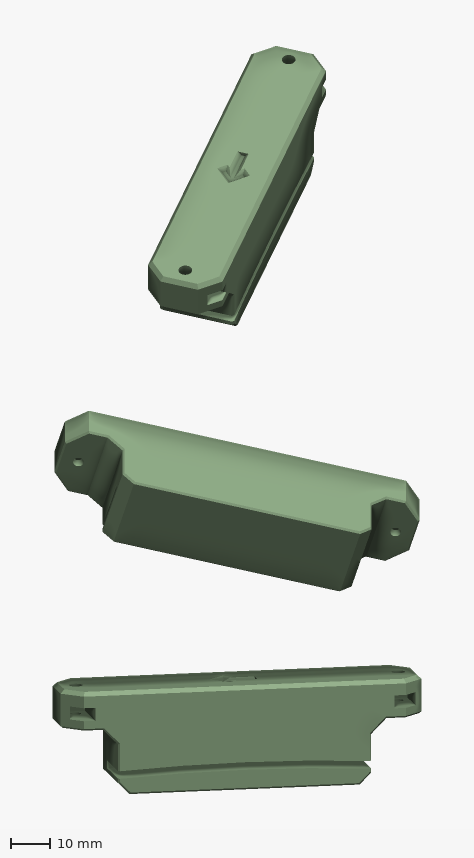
import cadquery as cq
import math

length = 94.0
width = 20.0
height = 27.0

cap_bottom = 17.0
corner_cut = 5.0
body_half_length = 33.0
shoulder_cut = 3.95
foot_cut = 3.0
top_bevel = 1.0
lower_bevel = 0.5

screw_inset = 5.0
clearance_diameter = 3.5
screw_diameter = 2.7
nut_pocket_width = 6.0
nut_pocket_bottom = 19.55
nut_pocket_height = 3.4

slot_back = 6.0
slot_bottom = 4.1
slot_height = 2.0
slot_rise = 1.0

arrow_stroke = 3.0
arrow_depth = 1.0
arrow_tail = 4.9
arrow_tip = -7.2
arrow_half_width = 4.4

half_length = length / 2
center_x = width / 2


def make_blank():
    """Cap and body outline run along X, with the vertical corners of the cap cut off."""
    shoulder = body_half_length + shoulder_cut
    right_half = [
        (body_half_length - foot_cut, 0),
        (body_half_length, foot_cut),
        (body_half_length, cap_bottom - shoulder_cut),
        (shoulder, cap_bottom),
        (half_length, cap_bottom),
        (half_length, height),
    ]
    left_half = [(-y, z) for y, z in reversed(right_half)]
    blank = cq.Workplane("YZ").polyline(right_half + left_half).close().extrude(width)
    blank = blank.edges("|Z").edges("<Y or >Y").chamfer(corner_cut)
    return blank


def bevel_edges(blank):
    """Bevel the cap's top rim, then the side outlines and cap ends at its underside and below."""
    below_cap = cq.selectors.BoxSelector(
        (-width, -length, -height),
        (2 * width, length, cap_bottom + lower_bevel),
    )
    blank = blank.faces(">Z").edges().chamfer(top_bevel)
    lower_edges = blank.edges(below_cap).edges("(not |X) or <Y or >Y")
    return lower_edges.chamfer(lower_bevel)


def make_screw_cuts(y_end):
    """Screw hole and nut pocket near the end of the cap on the side given by y_end."""
    y = y_end * (half_length - screw_inset)
    pocket_floor = cq.Workplane("XY", origin=(center_x, y, nut_pocket_bottom))
    screw_hole = cq.Workplane("XY", origin=(center_x, y, 0)).circle(screw_diameter / 2).extrude(height)
    clearance_hole = pocket_floor.circle(clearance_diameter / 2).extrude(height)
    nut_pocket = (
        pocket_floor.center(-nut_pocket_width / 2, 0)
        .rect(width, nut_pocket_width, centered=(False, True))
        .extrude(nut_pocket_height)
    )
    return screw_hole.union(clearance_hole).union(nut_pocket)


def make_slot():
    """Slot along the whole body, bowed upwards to mid-length."""
    roof_bottom = slot_bottom + slot_height
    return (
        cq.Workplane("YZ", origin=(slot_back, 0, 0))
        .moveTo(-body_half_length, slot_bottom)
        .threePointArc((0, slot_bottom + slot_rise), (body_half_length, slot_bottom))
        .lineTo(body_half_length, roof_bottom)
        .threePointArc((0, roof_bottom + slot_rise), (-body_half_length, roof_bottom))
        .close()
        .extrude(width)
    )


def make_arrow():
    """Shaft and the two strokes of the head, each groove narrowing with depth."""
    half_floor = arrow_stroke / 2 - arrow_depth
    shaft_end = arrow_tip + arrow_stroke / math.sqrt(2)
    shaft_profile = [
        (-arrow_stroke / 2, 0),
        (arrow_stroke / 2, 0),
        (half_floor, -arrow_depth),
        (-half_floor, -arrow_depth),
    ]
    arrow = (
        cq.Workplane("XZ", origin=(0, arrow_tail, 0))
        .polyline(shaft_profile)
        .close()
        .extrude(arrow_tail - shaft_end)
    )
    stroke_length = arrow_half_width * math.sqrt(2)
    for side in (-1, 1):
        stroke = (
            cq.Workplane("XY")
            .center(-side * arrow_stroke / 2, stroke_length / 2)
            .rect(arrow_stroke, stroke_length)
            .extrude(-arrow_depth, taper=45)
            .rotate((0, 0, 0), (0, 0, 1), -side * 45)
            .translate((0, arrow_tip, 0))
        )
        arrow = arrow.union(stroke)
    return arrow.translate((center_x, 0, height))


result = bevel_edges(make_blank())
for y_end in (-1, 1):
    result = result.cut(make_screw_cuts(y_end))
result = result.cut(make_slot())
result = result.cut(make_arrow())